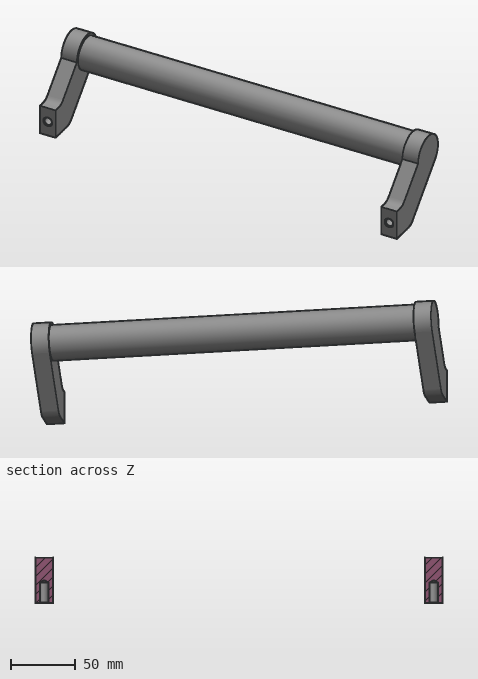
import cadquery as cq
import math

total_length = 314.0
bracket_size = 66.0
bracket_thickness = 13.8
bar_diameter = 28.0
head_radius = 16.0
arm_width = 27.3
foot_height = 25.0
bend_radius = 9.5
hole_diameter = 6.3
hole_mouth_diameter = 8.0
hole_depth = 15.7
drill_point_angle = 118.0

half_length = total_length / 2
foot_face_y = head_radius - bracket_size
foot_bottom_z = head_radius - bracket_size
foot_top_z = foot_bottom_z + foot_height
foot_middle_z = foot_bottom_z + foot_height / 2

tangent_offset = head_radius / math.sqrt(2)
lower_edge_offset = head_radius * math.sqrt(2)
upper_edge_offset = lower_edge_offset - arm_width * math.sqrt(2)
lower_bend_y = foot_bottom_z + lower_edge_offset
upper_bend_y = foot_top_z + upper_edge_offset
arm_width_step = arm_width / math.sqrt(2)
upper_start = (tangent_offset - arm_width_step, arm_width_step - tangent_offset)


def make_hole(x_middle):
    """Countersunk blind hole with a conical bottom, entering the foot face along +Y."""
    radius = hole_diameter / 2
    point_length = radius / math.tan(math.radians(drill_point_angle / 2))
    mouth_radius = hole_mouth_diameter / 2
    profile = [
        (0, 0),
        (mouth_radius, 0),
        (radius, mouth_radius - radius),
        (radius, hole_depth),
        (0, hole_depth + point_length),
    ]
    return (
        cq.Workplane("XY").polyline(profile).close()
        .revolve(360, (0, 0, 0), (0, 1, 0))
        .translate((x_middle, foot_face_y, foot_middle_z))
    )


def make_bracket(x_start):
    """End bracket occupying one thickness in +X from x_start."""
    plane = cq.Workplane("YZ", origin=(x_start, 0, 0))
    head = plane.circle(head_radius).extrude(bracket_thickness)
    arm = (
        plane.moveTo(tangent_offset, -tangent_offset)
        .lineTo(lower_bend_y, foot_bottom_z)
        .lineTo(foot_face_y, foot_bottom_z)
        .lineTo(foot_face_y, foot_top_z)
        .lineTo(upper_bend_y, foot_top_z)
        .lineTo(*upper_start)
        .close()
        .extrude(bracket_thickness)
    )
    x_middle = x_start + bracket_thickness / 2
    for bend_y, bend_z in ((lower_bend_y, foot_bottom_z), (upper_bend_y, foot_top_z)):
        bend_edge = cq.selectors.NearestToPointSelector((x_middle, bend_y, bend_z))
        arm = arm.edges("|X").edges(bend_edge).fillet(bend_radius)
    return head.union(arm).cut(make_hole(x_middle))


bar = cq.Workplane("YZ", origin=(-half_length, 0, 0)).circle(bar_diameter / 2).extrude(total_length)

result = bar
for bracket_start in (-half_length, half_length - bracket_thickness):
    result = result.union(make_bracket(bracket_start))